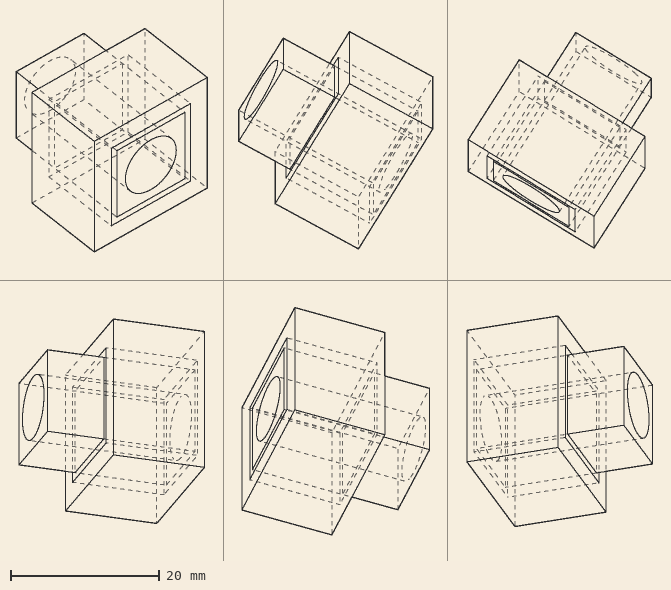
import cadquery as cq

housing_side = 20.0
housing_length = 13.0
bushing_side = 12.0
bushing_protrusion = 8.0
liner_wall = 1.0
bore_diameter = 9.0

bushing_length = bushing_protrusion + housing_length
liner_side = bushing_side + 2 * liner_wall


def square_bar(side, start_x, length):
    """Square bar along +X, starting at start_x."""
    return cq.Workplane("YZ").workplane(offset=start_x).rect(side, side).extrude(length)


def square_sleeve(outer_side, opening_side):
    """Square tube as long as the housing."""
    outer = square_bar(outer_side, 0, housing_length)
    opening = square_bar(opening_side, 0, housing_length)
    return outer.cut(opening)


housing = square_sleeve(housing_side, liner_side)

liner = square_sleeve(liner_side, bushing_side)

bushing = square_bar(bushing_side, -bushing_protrusion, bushing_length)
bushing = bushing.faces("<X").workplane(centerOption="CenterOfMass").hole(bore_diameter)

result = cq.Compound.makeCompound([housing.val(), liner.val(), bushing.val()])